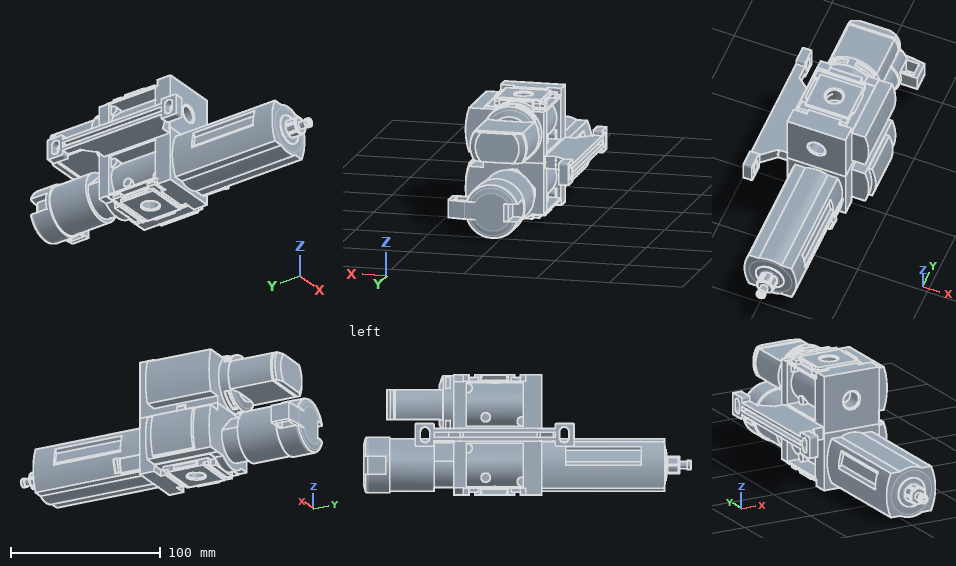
import cadquery as cq
import math

module_height = 40.2
half_width = 20.9
axis_z = module_height / 2
valve_axis_z = axis_z
regulator_axis_z = -axis_z
front_y = -31.5
back_y = 27.2
shelf_front_y = -20.7
pad_back_y = 21.0
shelf_drop = 4.5
back_step = 0.4
neck_radius = 20.0

pad_half_width = 15.4
pad_corner_length = 3.8
pad_corner_width = 3.9
groove_width = 3.8
groove_depth = 1.9
groove_offset_y = 15.2
lug_length = 18.4
lug_width = 2.2
lug_taper = 1.2
lug_drop = 0.4
lug_height = 3.4
lug_center_y = 0.3
clip_width = 3.5
clip_length = 6.2

port_bore = 11.45
port_mouth = 13.2
port_chamfer = (port_mouth - port_bore) / 2
port_depth = 12.0

window_half_length = 19.1
window_half_height = 14.5
core_radius = window_half_height
core_x = -3.5
screw_diameter = 6.1
screw_end_x = -17.9
screw_places = [(18.0, 11.1), (6.0, -8.4), (-18.1, -11.2)]

cover_height = 30.2
cover_side_x = 30.6
cover_crown_x = 33.1
gauge_size_y = 30.4
gauge_height = 29.0
gauge_side_x = 33.4
gauge_crown_x = 36.0

stud_root_half = 3.4
stud_tip_half = 2.2
stud_height = 1.2
stud_length = 6.0

bowl_end_y = -113.3
bowl_flat_z = 15.6
bowl_corner_x = 15.3
bowl_side_x = 18.7
bowl_barrel_diameter = 35.2
bowl_end_ring_radius = 15.4
bowl_end_cone_y = -113.8
sight_top = 12.2
sight_bottom = 0.0
sight_front_y = -97.6
sight_back_y = -47.4
sight_section = [(-16.6, sight_top), (-14.9, 9.7), (-16.7, 2.2), (-18.7, sight_bottom)]
latch_end_y = sight_back_y
button_length = 4.6
button_slope = 1.2
slide_section = [(16.5, -15.0), (17.6, -15.0), (19.4, -5.2), (17.0, -5.2)]
button_section = [(16.5, -14.0), (18.7, -15.0), (21.6, -5.6), (17.0, -5.2)]

drain_disc_radius = 10.1
drain_disc_y = -114.4
drain_taper_radius = 6.9
drain_taper_y = -114.7
drain_neck_radius = 4.0
drain_knob_diameter = 12.0
drain_knob_back_y = -115.4
drain_knob_front_y = -123.5
drain_knob_chamfer = 1.0
drain_stem_diameter = 5.0
drain_lip_diameter = 6.1
drain_lip_y = -128.5
drain_tip_y = -131.15
drain_tip_chamfer = 0.5
drain_bore = 2.55
drain_bore_depth = 8.0
drain_groove_count = 6
drain_groove_width = 1.2
drain_groove_depth = 0.8

collar_diameter = 38.8
collar_end_y = 34.4
dome_ring_y = 35.4
dome_ring_radius = 17.2
dome_top_y = 36.9
dome_top_radius = 13.0
grip_diameter = 38.4
grip_thickness = 20.0
grip_end_y = 71.8
grip_shoulder_y = 69.6
grip_end_radius = 15.0
grip_groove_y = 66.8
grip_groove_width = 0.9
grip_groove_depth = 0.3
collar_slot_y = 31.2
collar_slot_width = 3.0
collar_slot_depth = 1.0
slot_start_angle = 34.0
slot_end_angle = 81.5

spindle_radius = 15.1
spindle_flat_distance = 12.3
spindle_end_y = 40.4
knob_barrel_diameter = 35.2
knob_barrel_end_y = 69.9
cap_diameter = 37.2
cap_rim_y = 86.0
crown_ring_radius = 16.3
crown_ring_y = 86.6
crown_top_radius = 12.9
knob_end_y = 87.35
cap_edge_y = 84.6
cap_edge_radius = 18.2
cap_slot_floor_x = -11.0
cap_slot_chamfer = 2.5
cap_slot_y = 72.6
hasp_width = 12.0
hasp_inner_x = 17.6
hasp_outer_x = 30.2
hasp_bar = 3.4
hasp_leg = 1.6
hasp_top_drop = 1.6

bracket_back_x = -44.0
ear_thickness = 6.3
ear_front_x = bracket_back_x + ear_thickness
ear_outer_half = 53.0
ear_inner_half = 40.4
ear_height = 15.2
ear_corner = 1.0
ear_slot_diameter = 6.1
ear_slot_length = 10.3
ear_slot_half_span = 46.4
web_thickness = 8.5
web_slope_x = -28.1
web_wide_y = (-39.2, 30.7)
web_narrow_y = (-30.5, 23.0)
web_groove_height = 3.2
web_wall = 2.0


def box(x_range, y_range, z_range):
    """Block between the given coordinate limits."""
    x0, x1 = min(x_range), max(x_range)
    y0, y1 = min(y_range), max(y_range)
    z0, z1 = min(z_range), max(z_range)
    return cq.Workplane("XY").box(x1 - x0, y1 - y0, z1 - z0, centered=False).translate((x0, y0, z0))


def turned(radius_and_y, z=0):
    """Solid of revolution about a line parallel to Y at height z."""
    first_y = radius_and_y[0][1]
    last_y = radius_and_y[-1][1]
    outline = [(0, first_y)] + radius_and_y + [(0, last_y)]
    return (cq.Workplane("XY").polyline(outline).close()
            .revolve(360, (0, 0, 0), (0, 1, 0)).translate((0, 0, z)))


def barrel(radius, y_range, z=0):
    """Plain cylinder along Y."""
    return turned([(radius, y_range[0]), (radius, y_range[1])], z)


def along_y(sketch, y_range):
    """Extrude an XZ sketch, drawn on an XZ workplane at Y = 0, over the given Y range."""
    y0, y1 = min(y_range), max(y_range)
    return sketch.extrude(y1 - y0).translate((0, y1, 0))


def bulged_plate(side_x, crown_x, height, y_range):
    """Plate on the +X side of a module at axis height 0, with its +X face curved in XZ."""
    half = height / 2
    sketch = (cq.Workplane("XZ").moveTo(half_width, -half).lineTo(side_x, -half)
              .threePointArc((crown_x, 0), (side_x, half)).lineTo(half_width, half).close())
    return along_y(sketch, y_range)


def port():
    """Port tool along Z, mouth at the origin, going down."""
    bore = cq.Workplane("XY").circle(port_bore / 2).extrude(-port_depth)
    mouth = (cq.Workplane("XY").circle(port_mouth / 2)
             .workplane(offset=-port_chamfer).circle(port_bore / 2).loft(combine=True))
    return bore.union(mouth)


def port_pad():
    """Connection pad on the outer face, with cross grooves, undercut side lugs and clips."""
    top = axis_z
    shelf = axis_z - shelf_drop
    pad = box((-pad_half_width, pad_half_width), (shelf_front_y, pad_back_y), (shelf, top))
    for side in (-1, 1):
        edge_x = side * pad_half_width
        for end_y, inward in ((pad_back_y, -1), (shelf_front_y, 1)):
            pad = pad.cut(box((edge_x, edge_x - side * pad_corner_width),
                              (end_y, end_y + inward * pad_corner_length), (shelf, top)))
        half = lug_length / 2
        lug = (cq.Workplane("XY")
               .polyline([(edge_x, -half), (edge_x + side * lug_width, lug_taper - half),
                          (edge_x + side * lug_width, half - lug_taper), (edge_x, half)]).close()
               .extrude(lug_height).translate((0, lug_center_y, top - lug_drop - lug_height)))
        lug_face_x = edge_x + side * lug_width
        undercut = (cq.Workplane("XZ")
                    .polyline([(edge_x, top - lug_drop - lug_height), (lug_face_x, top - lug_drop),
                               (lug_face_x, shelf), (edge_x, shelf)]).close())
        pad = pad.union(lug.cut(along_y(undercut, (shelf_front_y, pad_back_y))))
        groove_y = side * groove_offset_y
        pad = pad.cut(box((-half_width, half_width),
                          (groove_y - groove_width / 2, groove_y + groove_width / 2),
                          (top - groove_depth, top)))
        clip_y = side * (groove_offset_y + groove_width / 2 - clip_length / 2)
        clip = box((-pad_half_width - clip_width, -pad_half_width),
                   (clip_y - clip_length / 2, clip_y + clip_length / 2), (shelf, top - groove_depth))
        pad = pad.union(clip)
    return pad


def side_window():
    """Recess in the -X face that bares a round core and three screw heads."""
    tool = box((-half_width, core_x), (-window_half_length, window_half_length),
               (-window_half_height, window_half_height))
    core = barrel(core_radius, (-window_half_length, window_half_length)).translate((core_x, 0, 0))
    tool = tool.cut(core)
    for y, z in screw_places:
        head = (cq.Workplane("YZ").center(y, z).circle(screw_diameter / 2)
                .extrude(core_x - screw_end_x).translate((screw_end_x, 0, 0)))
        tool = tool.cut(head)
    return tool


def housing(outer_side, center_z):
    """Module housing; outer_side is +1 or -1 for the Z side that carries the port pad."""
    shelf = axis_z - shelf_drop
    body = box((-half_width, half_width), (front_y, back_y), (-axis_z, shelf))
    body = body.cut(box((-half_width, half_width), (pad_back_y, back_y), (shelf - back_step, shelf)))
    body = body.union(box((-half_width, half_width), (front_y, shelf_front_y), (shelf, axis_z)))
    neck = barrel(neck_radius, (pad_back_y, back_y))
    body = body.union(neck).union(port_pad())
    body = body.cut(port().translate((0, 0, axis_z)))
    if outer_side < 0:
        body = body.mirror("XY")
    body = body.cut(side_window())
    cover = bulged_plate(cover_side_x, cover_crown_x, cover_height, (shelf_front_y, back_y))
    return body.union(cover).translate((0, 0, center_z))


def joint_stud():
    """Small clamping stud head on the +X face, straddling the joint."""
    sketch = (cq.Workplane("XZ")
              .polyline([(half_width, -stud_root_half), (half_width + stud_height, -stud_tip_half),
                         (half_width + stud_height, stud_tip_half), (half_width, stud_root_half)])
              .close())
    return along_y(sketch, (-stud_length / 2, stud_length / 2))


def valve_body():
    """Upper module with an extra port in its front face."""
    body = housing(1, valve_axis_z)
    front_port = port().rotate((0, 0, 0), (1, 0, 0), 90).translate((0, front_y, valve_axis_z))
    return body.cut(front_port).union(joint_stud())


def bowl():
    """Filter bowl about axis height 0: flat top and bottom, arched sides, round barrel."""
    length = (bowl_end_y, front_y)
    sketch = (cq.Workplane("XZ").moveTo(-bowl_corner_x, bowl_flat_z)
              .lineTo(bowl_corner_x, bowl_flat_z)
              .threePointArc((bowl_side_x, 0), (bowl_corner_x, -bowl_flat_z))
              .lineTo(-bowl_corner_x, -bowl_flat_z)
              .threePointArc((-bowl_side_x, 0), (-bowl_corner_x, bowl_flat_z)).close())
    shell = along_y(sketch, length).union(barrel(bowl_barrel_diameter / 2, length))
    outside = [(-half_width, sight_bottom), (-half_width, sight_top)]
    section = cq.Workplane("XZ").polyline(sight_section + outside).close()
    sight = along_y(section, (sight_front_y, sight_back_y))
    return shell.cut(sight).cut(sight.mirror("YZ")).union(latch())


def latch():
    """Slanted release slide on the +X side of the bowl, with a raised button at its end."""
    slide = along_y(cq.Workplane("XZ").polyline(slide_section).close(), (latch_end_y, front_y))
    button = along_y(cq.Workplane("XZ").polyline(button_section).close(),
                     (latch_end_y - button_length, latch_end_y))
    return slide.union(button.faces(">X").edges("<Y or >Y").chamfer(button_slope))


def drain():
    """Manual drain: disc, fluted knob and hose stem, turned about axis height 0."""
    knob_radius = drain_knob_diameter / 2
    stem_radius = drain_stem_diameter / 2
    lip_radius = drain_lip_diameter / 2
    body = turned([
        (bowl_end_ring_radius, bowl_end_y), (drain_disc_radius, bowl_end_cone_y),
        (drain_disc_radius, drain_disc_y), (drain_taper_radius, drain_taper_y),
        (drain_neck_radius, drain_taper_y),
        (drain_neck_radius, drain_knob_back_y), (knob_radius, drain_knob_back_y),
        (knob_radius, drain_knob_front_y + drain_knob_chamfer),
        (knob_radius - drain_knob_chamfer / 2, drain_knob_front_y), (stem_radius, drain_knob_front_y),
        (stem_radius, drain_lip_y), (lip_radius, drain_lip_y),
        (lip_radius, drain_tip_y + drain_tip_chamfer),
        (lip_radius - drain_tip_chamfer, drain_tip_y)])
    groove = box((knob_radius - drain_groove_depth, knob_radius + drain_groove_depth),
                 (drain_knob_front_y, drain_knob_back_y),
                 (-drain_groove_width / 2, drain_groove_width / 2))
    for index in range(drain_groove_count):
        body = body.cut(groove.rotate((0, 0, 0), (0, 1, 0), index * 360 / drain_groove_count))
    return body.cut(barrel(drain_bore / 2, (drain_tip_y, drain_tip_y + drain_bore_depth)))


def regulator_body():
    """Lower module with pressure gauge, filter bowl and drain."""
    gauge = bulged_plate(gauge_side_x, gauge_crown_x, gauge_height, (-gauge_size_y / 2, gauge_size_y / 2))
    fittings = bowl().union(drain()).union(gauge).translate((0, 0, regulator_axis_z))
    return housing(-1, regulator_axis_z).union(fittings)


def collar_slot():
    """Tool for one of the arched slots in the valve knob collar."""
    outer = collar_diameter / 2 + collar_slot_depth
    inner = collar_diameter / 2 - collar_slot_depth

    def point(radius, angle):
        radians = math.radians(angle)
        return (radius * math.cos(radians), radius * math.sin(radians))

    middle = (slot_start_angle + slot_end_angle) / 2
    sketch = (cq.Workplane("XZ").moveTo(*point(inner, slot_start_angle))
              .threePointArc(point(inner, middle), point(inner, slot_end_angle))
              .lineTo(*point(outer, slot_end_angle))
              .threePointArc(point(outer, middle), point(outer, slot_start_angle)).close())
    return along_y(sketch, (collar_slot_y - collar_slot_width / 2, collar_slot_y + collar_slot_width / 2))


def valve_knob():
    """Rotary knob of the upper module: domed collar with a flat grip."""
    collar_radius = collar_diameter / 2
    knob = turned([(collar_radius, back_y), (collar_radius, collar_end_y),
                   (dome_ring_radius, dome_ring_y), (dome_top_radius, dome_top_y)])
    slot = collar_slot()
    for tool in (slot, slot.mirror("YZ")):
        knob = knob.cut(tool).cut(tool.mirror("XY"))
    grip_radius = grip_diameter / 2
    half = grip_thickness / 2
    grip = turned([(grip_radius, collar_end_y), (grip_radius, grip_shoulder_y),
                   (grip_end_radius, grip_end_y)])
    grip = grip.intersect(box((-grip_radius, grip_radius), (collar_end_y, grip_end_y), (-half, half)))
    band = (grip_groove_y - grip_groove_width / 2, grip_groove_y + grip_groove_width / 2)
    groove_core = barrel(grip_radius - grip_groove_depth, band).intersect(
        box((-grip_radius, grip_radius), band, (grip_groove_depth - half, half - grip_groove_depth)))
    groove = box((-grip_radius, grip_radius), band, (-half, half)).cut(groove_core)
    return knob.union(grip.cut(groove)).translate((0, 0, valve_axis_z))


def hasp():
    """Locking eye on the +X side of the regulator cap, a rectangular loop in XY."""
    half = hasp_width / 2
    outline = [(0, cap_slot_y), (hasp_outer_x, cap_slot_y), (hasp_outer_x, knob_end_y - hasp_top_drop),
               (cap_diameter / 2, knob_end_y), (0, knob_end_y)]
    plate = cq.Workplane("XY").polyline(outline).close().extrude(hasp_width).translate((0, 0, -half))
    eye_top_y = knob_end_y - hasp_top_drop - hasp_leg
    eye = box((hasp_inner_x, hasp_outer_x - hasp_bar), (cap_slot_y + hasp_leg, eye_top_y), (-half, half))
    return plate.cut(eye)


def regulator_knob():
    """Adjusting knob of the lower module, with a slot across the cap and the locking hasp."""
    cap_radius = cap_diameter / 2
    barrel_radius = knob_barrel_diameter / 2
    spindle = barrel(spindle_radius, (back_y, spindle_end_y))
    flat = box((-spindle_radius, spindle_radius), (back_y, spindle_end_y),
               (spindle_flat_distance, spindle_radius))
    for tilt in (-45, 45):
        spindle = spindle.cut(flat.rotate((0, 0, 0), (0, 1, 0), tilt))
    knob = turned([(barrel_radius, spindle_end_y), (barrel_radius, knob_barrel_end_y),
                   (cap_radius, knob_barrel_end_y), (cap_radius, cap_edge_y),
                   (cap_edge_radius, cap_rim_y), (crown_ring_radius, crown_ring_y),
                   (crown_top_radius, knob_end_y)])
    half = hasp_width / 2
    slot = (cq.Workplane("XY")
            .polyline([(-cap_radius, cap_slot_y), (cap_slot_floor_x, cap_slot_y),
                       (cap_slot_floor_x, cap_edge_y),
                       (cap_slot_floor_x + cap_slot_chamfer, knob_end_y), (-cap_radius, knob_end_y)])
            .close().extrude(hasp_width).translate((0, 0, -half)))
    eye_side = box((hasp_inner_x, cap_radius), (cap_slot_y, knob_end_y), (-half, half))
    knob = knob.cut(slot).cut(eye_side)
    return knob.union(spindle).union(hasp()).translate((0, 0, regulator_axis_z))


def bracket():
    """Wall bracket: grooved tapering web with a slotted ear at each end."""
    low_wide, high_wide = web_wide_y
    low_narrow, high_narrow = web_narrow_y
    ear_inner_low = -ear_inner_half
    ear_inner_high = ear_inner_half
    outline = [(bracket_back_x, ear_inner_low), (ear_front_x, ear_inner_low), (ear_front_x, low_wide),
               (web_slope_x, low_narrow), (-half_width, low_narrow), (-half_width, high_narrow),
               (web_slope_x, high_narrow), (ear_front_x, high_wide),
               (ear_front_x, ear_inner_high), (bracket_back_x, ear_inner_high)]
    body = (cq.Workplane("XY").polyline(outline).close().extrude(web_thickness)
            .translate((0, 0, -web_thickness / 2)))
    groove = (cq.Workplane("XY")
              .polyline([(bracket_back_x, ear_inner_low), (ear_front_x - web_wall, ear_inner_low),
                         (ear_front_x - web_wall, low_wide), (web_slope_x - web_wall, low_narrow),
                         (-half_width - web_wall, low_narrow + web_wall),
                         (-half_width - web_wall, high_narrow - web_wall),
                         (web_slope_x - web_wall, high_narrow), (ear_front_x - web_wall, high_wide),
                         (ear_front_x - web_wall, ear_inner_high), (bracket_back_x, ear_inner_high)])
              .close().extrude(web_groove_height).translate((0, 0, -web_groove_height / 2)))
    body = body.cut(groove)
    for side in (-1, 1):
        ear = box((bracket_back_x, ear_front_x), (side * ear_inner_half, side * ear_outer_half),
                  (-ear_height / 2, ear_height / 2))
        ear = ear.edges("|X").fillet(ear_corner)
        slot = (cq.Workplane("YZ").center(side * ear_slot_half_span, 0)
                .slot2D(ear_slot_length, ear_slot_diameter, 90).extrude(2 * ear_thickness)
                .translate((bracket_back_x - ear_thickness / 2, 0, 0)))
        body = body.union(ear.cut(slot))
    return body


valve = valve_body()
regulator = regulator_body()
valve_handle = valve_knob()
regulator_handle = regulator_knob()
wall_bracket = bracket()

result = cq.Compound.makeCompound([
    valve.val(),
    regulator.val(),
    valve_handle.val(),
    regulator_handle.val(),
    wall_bracket.val(),
])